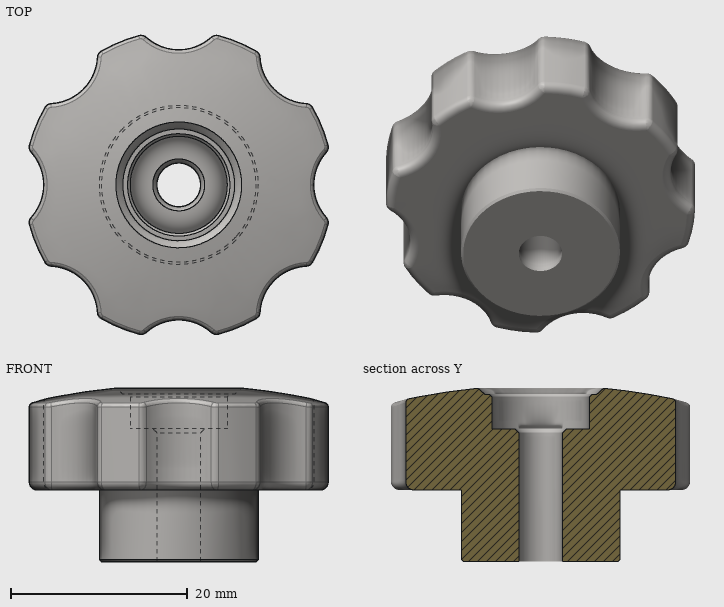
import cadquery as cq
import math

total_height = 19.67
head_base = 8.1

head_diameter = 35.0
dome_radius = 73.0
scallop_count = 8
scallop_radius = 5.5
scallop_root_radius = 15.3
corner_radius = 0.9
top_edge_radius = 0.5
bottom_edge_radius = 0.95

hub_diameter = 18.0
hub_chamfer = 0.25

recess_rim_diameter = 14.25
recess_step_diameter = 12.66
recess_step_depth = 0.7
socket_diameter = 11.0
socket_chamfer = 0.3
socket_floor_depth = 4.6
bore_diameter = 4.92
bore_chamfer = 0.48


def dome_cutter():
    """Everything above a spherical cap that meets the rim of the recess at full height."""
    rim_radius = recess_rim_diameter / 2
    sphere_center = total_height - math.sqrt(dome_radius**2 - rim_radius**2)
    block = cq.Workplane("XY", origin=(0, 0, head_base)).circle(head_diameter).extrude(total_height)
    sphere = cq.Workplane("XY").sphere(dome_radius).translate((0, 0, sphere_center))
    return block.cut(sphere)


def make_head():
    """Domed grip with evenly spaced scallops and rounded edges."""
    blank = (
        cq.Workplane("XY", origin=(0, 0, head_base))
        .circle(head_diameter / 2)
        .extrude(total_height)
    )
    scallops = (
        cq.Workplane("XY", origin=(0, 0, head_base))
        .polarArray(scallop_root_radius + scallop_radius, 0, 360, scallop_count)
        .circle(scallop_radius)
        .extrude(total_height)
    )
    head = blank.cut(scallops).edges("|Z").fillet(corner_radius)
    head = head.cut(dome_cutter())
    head = head.faces("<Z").edges().fillet(bottom_edge_radius)
    return head.faces(">Z").edges().fillet(top_edge_radius)


def make_hub():
    """Plain round hub below the grip, chamfered at its free end."""
    hub = cq.Workplane("XY").circle(hub_diameter / 2).extrude(head_base)
    return hub.faces("<Z").edges().chamfer(hub_chamfer)


def recess_cutter():
    """Revolved void: conical mouth, step, chamfered socket and chamfered through bore."""
    rim_radius = recess_rim_diameter / 2
    step_radius = recess_step_diameter / 2
    socket_radius = socket_diameter / 2
    bore_radius = bore_diameter / 2
    step_level = total_height - recess_step_depth
    floor_level = total_height - socket_floor_depth
    profile = [
        (0, 0),
        (bore_radius, 0),
        (bore_radius, floor_level - bore_chamfer),
        (bore_radius + bore_chamfer, floor_level),
        (socket_radius, floor_level),
        (socket_radius, step_level - socket_chamfer),
        (socket_radius + socket_chamfer, step_level),
        (step_radius, step_level),
        (rim_radius, total_height),
        (rim_radius, total_height + recess_step_depth),
        (0, total_height + recess_step_depth),
    ]
    return cq.Workplane("XZ").polyline(profile).close().revolve(360, (0, 0), (0, 1))


result = make_head().union(make_hub()).cut(recess_cutter())